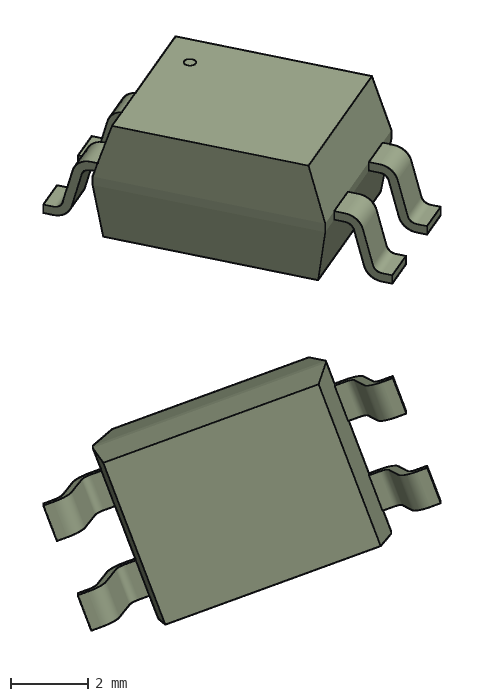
import cadquery as cq
import math

span_x = 9.65
body_height = 3.46

belt_x = 6.44
belt_y = 4.83
top_x = 5.43
top_y = 4.63
bottom_x = 5.94
bottom_y = 4.58

lead_thickness = 0.26
lead_width = 1.0
lead_pitch = 2.54
foot_length = 0.29
inner_radius = 0.25
bend_angle = math.radians(75.0)

marker_diameter = 0.32
marker_depth = 0.1
marker_x = -1.92
marker_y = lead_pitch / 2

belt_bottom = (body_height - lead_thickness) / 2
belt_top = belt_bottom + lead_thickness


def tapered_block(lower_x, lower_y, lower_z, upper_x, upper_y, upper_z):
    """Block between two centred rectangles at different heights."""
    return (
        cq.Workplane("XY", origin=(0, 0, lower_z))
        .rect(lower_x, lower_y)
        .workplane(offset=upper_z - lower_z)
        .rect(upper_x, upper_y)
        .loft(ruled=True, combine=True)
    )


def make_marker():
    return (
        cq.Workplane("XY", origin=(marker_x, marker_y, body_height - marker_depth))
        .circle(marker_diameter / 2)
        .extrude(marker_depth)
    )


def make_housing(marker):
    """Housing with a recess that holds the marker."""
    lower_half = tapered_block(bottom_x, bottom_y, 0, belt_x, belt_y, belt_bottom)
    belt = tapered_block(belt_x, belt_y, belt_bottom, belt_x, belt_y, belt_top)
    upper_half = tapered_block(belt_x, belt_y, belt_top, top_x, top_y, body_height)
    return lower_half.union(belt).union(upper_half).cut(marker)


def arc_point(center, radius, angle):
    """Point on a circle in the XZ plane, at an angle from +X."""
    return (center[0] + radius * math.cos(angle), center[1] + radius * math.sin(angle))


def make_left_lead(center_y):
    """S-shaped lead from its foot tip up to the -X face of the belt."""
    tip_x = -span_x / 2
    belt_face_x = -belt_x / 2
    outer_radius = inner_radius + lead_thickness
    middle_radius = inner_radius + lead_thickness / 2

    leg_rise = belt_bottom - 2 * middle_radius * (1 - math.cos(bend_angle))
    bend_run = 2 * middle_radius * math.sin(bend_angle) + leg_rise / math.tan(bend_angle)

    foot_end_x = tip_x + foot_length
    lower_center = (foot_end_x, outer_radius)
    upper_center = (foot_end_x + bend_run, belt_top - outer_radius)

    down = -math.pi / 2
    up = math.pi / 2
    lower_middle = down + bend_angle / 2
    lower_end = down + bend_angle
    upper_middle = up + bend_angle / 2
    upper_start = up + bend_angle

    profile = (
        cq.Workplane("XZ", origin=(0, center_y + lead_width / 2, 0))
        .moveTo(tip_x, 0)
        .lineTo(foot_end_x, 0)
        .threePointArc(
            arc_point(lower_center, outer_radius, lower_middle),
            arc_point(lower_center, outer_radius, lower_end),
        )
        .lineTo(*arc_point(upper_center, inner_radius, upper_start))
        .threePointArc(
            arc_point(upper_center, inner_radius, upper_middle),
            arc_point(upper_center, inner_radius, up),
        )
        .lineTo(belt_face_x, belt_bottom)
        .lineTo(belt_face_x, belt_top)
        .lineTo(upper_center[0], belt_top)
        .threePointArc(
            arc_point(upper_center, outer_radius, upper_middle),
            arc_point(upper_center, outer_radius, upper_start),
        )
        .lineTo(*arc_point(lower_center, inner_radius, lower_end))
        .threePointArc(
            arc_point(lower_center, inner_radius, lower_middle),
            arc_point(lower_center, inner_radius, down),
        )
        .lineTo(tip_x, lead_thickness)
        .close()
    )
    return profile.extrude(lead_width)


def make_leads():
    """Two leads on the -X side and their mirror images on the +X side."""
    leads = []
    for center_y in (-lead_pitch / 2, lead_pitch / 2):
        left_lead = make_left_lead(center_y)
        right_lead = left_lead.mirror("YZ")
        leads.append(left_lead.val())
        leads.append(right_lead.val())
    return leads


marker = make_marker()
housing = make_housing(marker)
leads = make_leads()

result = cq.Compound.makeCompound([housing.val(), marker.val(), *leads])